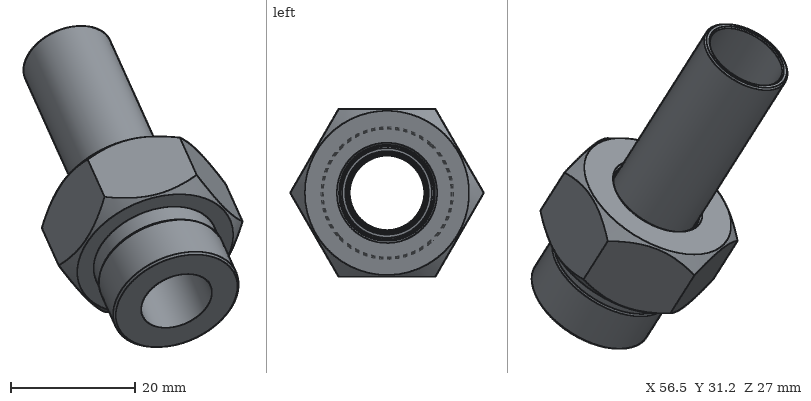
import cadquery as cq
import math

total_length = 56.5

tube_diameter = 15.05
tube_bore = 13.0
tube_end_chamfer = 0.3
tube_bore_chamfer = 0.2

nut_sides = 6
nut_across_flats = 27.0
nut_start = 32.05
nut_length = 13.45
nut_face_diameter = 26.45
nut_bore = 15.5
nut_bore_chamfer = 0.35
nut_end = nut_start + nut_length

connector_diameter = 21.3
neck_diameter = 20.9
connector_bore = 12.0
collar_start = 48.4
collar_lead_in_length = 0.35
connector_bore_chamfer = 0.3
connector_end_chamfer = 0.35

connector_start = nut_start + nut_length / 2
tube_end = nut_end

smallest_circle = cq.selectors.RadiusNthSelector(0)


def cylinder(diameter, start, end):
    """Solid cylinder about the X axis between two X positions."""
    return cq.Workplane("YZ").workplane(offset=start).circle(diameter / 2).extrude(end - start)


def cone(start_diameter, end_diameter, start, length):
    """Truncated cone about the X axis, pointing along +X."""
    axis = cq.Vector(1, 0, 0)
    base = axis * start
    return cq.Workplane(cq.Solid.makeCone(start_diameter / 2, end_diameter / 2, length, base, axis))


def make_tube():
    tube = cylinder(tube_diameter, 0, tube_end).faces("<X").chamfer(tube_end_chamfer)
    bore = cylinder(tube_bore, 0, tube_end)
    tube = tube.cut(bore)
    return tube.faces("<X").edges(smallest_circle).chamfer(tube_bore_chamfer)


def make_chamfer_envelope():
    """Double cone that trims the hexagon's corners at both nut faces."""
    corner_radius = nut_across_flats / math.sqrt(3)
    face_radius = nut_face_diameter / 2
    chamfer_length = corner_radius - face_radius
    return (
        cq.Workplane("XY")
        .moveTo(nut_start, 0)
        .lineTo(nut_start, face_radius)
        .lineTo(nut_start + chamfer_length, corner_radius)
        .lineTo(nut_end - chamfer_length, corner_radius)
        .lineTo(nut_end, face_radius)
        .lineTo(nut_end, 0)
        .close()
        .revolve(360, (0, 0, 0), (1, 0, 0))
    )


def make_nut():
    hexagon = (
        cq.Workplane("YZ")
        .workplane(offset=nut_start)
        .polygon(nut_sides, nut_across_flats, circumscribed=True)
        .extrude(nut_length)
    )
    hexagon = hexagon.rotate((0, 0, 0), (1, 0, 0), 90)
    nut = hexagon.intersect(make_chamfer_envelope())
    nut = nut.cut(cylinder(nut_bore, nut_start, nut_end))
    nut = nut.faces("<X").edges(smallest_circle).chamfer(nut_bore_chamfer)
    return nut.cut(cylinder(neck_diameter, connector_start, nut_end))


def make_connector():
    neck = cylinder(neck_diameter, connector_start, collar_start + collar_lead_in_length)
    lead_in = cone(neck_diameter, connector_diameter, collar_start, collar_lead_in_length)
    collar = cylinder(connector_diameter, collar_start + collar_lead_in_length, total_length)
    collar = collar.faces(">X").chamfer(connector_end_chamfer)
    tube_socket = cylinder(tube_diameter, connector_start, tube_end)
    bore = cylinder(connector_bore, tube_end, total_length)
    bore_mouth_diameter = connector_bore + 2 * connector_bore_chamfer
    bore_mouth = cone(bore_mouth_diameter, connector_bore, tube_end, connector_bore_chamfer)
    return neck.union(lead_in).union(collar).cut(tube_socket).cut(bore).cut(bore_mouth)


tube = make_tube()
nut = make_nut()
connector = make_connector()

result = cq.Compound.makeCompound([tube.val(), nut.val(), connector.val()])